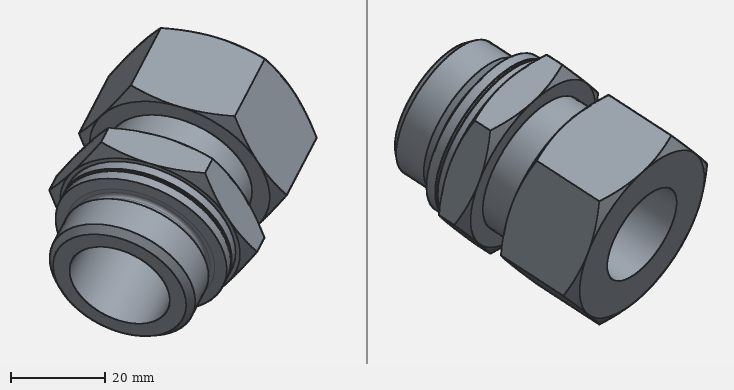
import cadquery as cq
import math

total_length = 55.75
thread_start = 1.6
thread_end = 9.25
neck_front = 10.2
neck_rear = 11.15
seal_front = 12.0
seal_shoulder = 12.45
groove_front = 14.8
groove_rear = 15.45
body_hex_front = 17.55
body_hex_rear = 25.55
nut_front = 34.7

bore_radius = 11.4
tip_radius = 15.15
thread_radius = 16.6
neck_radius = 15.0
collar_radius = 19.5
seal_rim_radius = 16.9
groove_depth = 0.2
body_radius = 16.5

across_flats = 41.0
chamfer_angle = 30.0
flat_radius = across_flats / 2
corner_radius = flat_radius / math.cos(math.pi / 6)
chamfer_length = (corner_radius - flat_radius) * math.tan(math.radians(chamfer_angle))


def revolve_profile(profile):
    """Turn a closed (radius, Y) profile about the Y axis."""
    return profile.close().revolve(360, (0, 0, 0), (0, 1, 0))


def chamfered_hexagon(front, rear):
    """Hexagonal prism with its corners turned off by cones at both ends."""
    prism = (
        cq.Workplane("XZ", origin=(0, front, 0))
        .polygon(6, 2 * corner_radius)
        .extrude(front - rear)
    )
    envelope = revolve_profile(
        cq.Workplane("XY")
        .moveTo(0, front)
        .lineTo(flat_radius, front)
        .lineTo(corner_radius, front + chamfer_length)
        .lineTo(corner_radius, rear - chamfer_length)
        .lineTo(flat_radius, rear)
        .lineTo(0, rear)
    )
    return prism.intersect(envelope)


def turned_body():
    """Threaded spigot, undercut neck, grooved sealing collar and shank."""
    fillet_radius = seal_front - neck_rear
    groove_radius = collar_radius - groove_depth
    return revolve_profile(
        cq.Workplane("XY")
        .moveTo(0, 0)
        .lineTo(tip_radius, 0)
        .lineTo(thread_radius, thread_start)
        .lineTo(thread_radius, thread_end)
        .lineTo(neck_radius, neck_front)
        .lineTo(neck_radius, neck_rear)
        .radiusArc((neck_radius + fillet_radius, seal_front), fillet_radius)
        .lineTo(seal_rim_radius, seal_front)
        .lineTo(collar_radius, seal_shoulder)
        .lineTo(collar_radius, groove_front)
        .lineTo(groove_radius, groove_front)
        .lineTo(groove_radius, groove_rear)
        .lineTo(collar_radius, groove_rear)
        .lineTo(collar_radius, body_hex_front)
        .lineTo(body_radius, body_hex_front)
        .lineTo(body_radius, total_length)
        .lineTo(0, total_length)
    )


bore = cq.Workplane("XZ").circle(bore_radius).extrude(-total_length)

result = (
    turned_body()
    .union(chamfered_hexagon(body_hex_front, body_hex_rear))
    .union(chamfered_hexagon(nut_front, total_length))
    .cut(bore)
    .translate((0, -total_length / 2, 0))
)